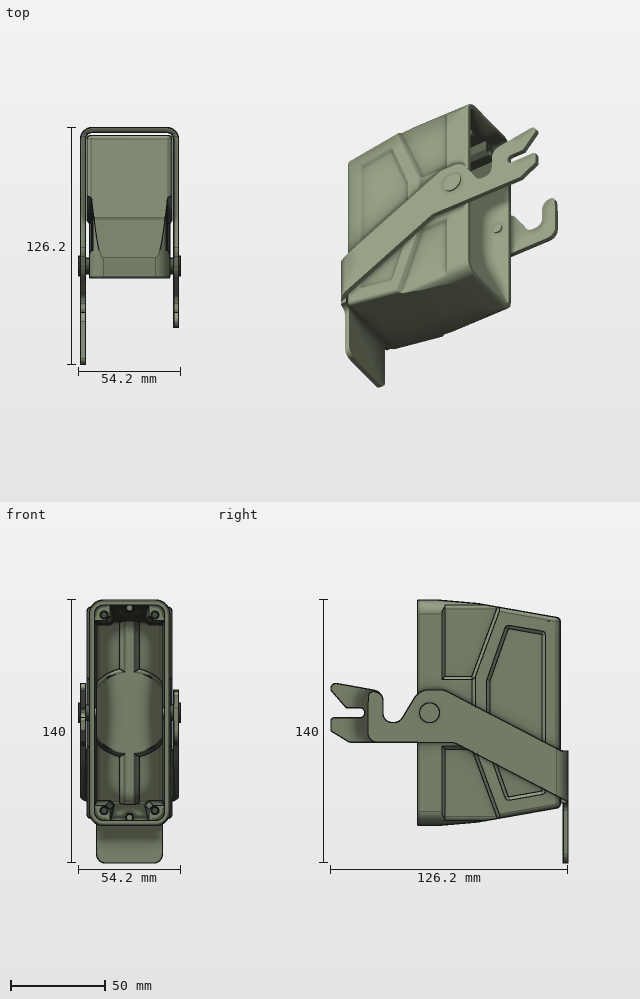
import cadquery as cq
import math


overlap = 1.0

hood_height = 120.0
hood_depth = 76.0
mouth_half_width = 21.4
mouth_corner_radius = 7.5
mouth_rim_fillet = 0.8
shoulder_half_width = 22.65
shoulder_edge_radius = 2.2
shoulder_front = 29.1
shoulder_slope_run = 1.7
wall = 2.7

level_length = 11.0
first_taper_end = 32.0
first_taper_angle = 5.0
second_taper_angle = 10.0
taper_blend_radius = 9.0

panel_half_width = 20.3
panel_front = 14.8
panel_bottom = 19.4
panel_top = 58.6
panel_limit = 57.4
panel_edge_radius = 3.4
panel_wall_slope = 1.6
diagonal_wall_slope = 0.8
diagonal_start = 29.0
diagonal_angle = 20.2

pocket_depth = 1.0
pocket_wall_run = 1.8
pocket_corner_radius = 2.2
pocket_back = 68.2
pocket_front = 36.9
pocket_back_height = 43.1
pocket_tip_depth = 47.2
pocket_bend_height = 17.5

cavity_mouth_half_width = 18.7
cavity_floor_half_width = 17.4
cavity_corner_radius = 5.0
floor_depth = 73.0
floor_edge_radius = 1.2
platform_height = 3.0
platform_radius = 22.1
platform_slope_run = 1.8
rib_half_width = 2.7
rib_slope_run = 2.6
platform_edge_radius = 0.6

post_front = 9.0
post_inner_x = 10.4
post_inner_z = 49.2
post_chamfer = 2.3
post_widening = 2.5
screw_x = 13.5
screw_z = 52.0
screw_hole_diameter = 3.4
screw_hole_depth = 20.0
screw_countersink_diameter = 4.3
guide_z = 55.8
guide_front = 10.2
guide_tip_radius = 1.7
guide_base_radius = 3.0

lever_half_width = 26.1
lever_sheet = 2.7
lever_back = 80.21
lever_bend_radius = 6.3
arm_angle = 27.5
arm_top = 12.2
arm_bottom = -15.7
arm_top_bend = 14.1
arm_bottom_bend = 19.4
bridge_top = -20.2
nose_y = 1.0
nose_angle = 58.7
nose_radius = 9.4
notch_bottom = -5.1
notch_radius = 4.75
notch_end_radius = 4.65
finger_back = -18.2
arm_bend_radius = 10.0
belly_radius = 8.0
bridge_blend_radius = 4.0
neck_height = 11.2

fork_tip = -46.0
fork_neck_radius = 6.0
fork_top = 16.2
fork_top_radius = 2.8
upper_prong_bottom = 12.0
upper_prong_radius = 0.6
slot_mouth = -37.8
slot_end = -28.0
slot_half_width = 2.6
slot_end_radius = 2.55
lower_prong_radius = 1.8
lower_prong_bottom = -9.7
lower_prong_heel_radius = 0.8
fork_heel = -36.2
fork_heel_radius = 3.0

hook_tip = -26.3
hook_top_front = -25.8
hook_neck_radius = 5.0
hook_top_radius = 2.3
hook_edge_height = 2.7
hook_heel_radius = 5.0

tab_half_width = 17.6
tab_root = -48.0
tab_bottom = -80.0
tab_corner_radius = 5.0
tab_root_radius = 4.0

pin_y = 6.5
pin_head_diameter = 10.6
pin_collar_diameter = 8.4
pin_stud_diameter = 5.0
pin_end_x = 27.1
pin_stud_x = 17.5


def tan(angle):
    return math.tan(math.radians(angle))


def both_sides(solid):
    """The solid together with its mirror image across X = 0."""
    return solid.union(solid.mirror("YZ"))


def top_and_bottom(solid):
    """The solid together with its mirror image across Z = 0."""
    return solid.union(solid.mirror("XY"))


def rounded_outline(plane, corners):
    """A closed outline through (u, v, radius) corners, each rounded to its radius."""
    starts, middles, ends = [], [], []
    for i, (u, v, radius) in enumerate(corners):
        corner = cq.Vector(u, v)
        before = cq.Vector(*corners[i - 1][:2]) - corner
        after = cq.Vector(*corners[(i + 1) % len(corners)][:2]) - corner
        before = before.normalized()
        after = after.normalized()
        half = before.getAngle(after) / 2
        setback = radius / math.tan(half)
        bisector = (before + after).normalized()
        starts.append(corner + before * setback)
        middles.append(corner + bisector * (radius / math.sin(half) - radius))
        ends.append(corner + after * setback)
    outline = cq.Workplane(plane).moveTo(ends[0].x, ends[0].y)
    for i in list(range(1, len(corners))) + [0]:
        outline = outline.lineTo(starts[i].x, starts[i].y)
        if corners[i][2] > 0:
            outline = outline.threePointArc(middles[i].toTuple()[:2], ends[i].toTuple()[:2])
    return outline.close()


def loft_between(outline_low, x_low, outline_high, x_high):
    """A solid with planar walls between two polygons on parallel YZ planes."""
    low = cq.Workplane("YZ", origin=(x_low, 0, 0)).polyline(outline_low).close()
    high = low.workplane(offset=x_high - x_low).polyline(outline_high).close()
    return high.loft(ruled=True)



def end_wall_height(y, inset):
    """Half height of the hood at depth y, measured inside a wall of the given inset."""
    height = hood_height / 2 - inset
    height -= tan(first_taper_angle) * max(0.0, min(y, first_taper_end) - level_length)
    height -= tan(second_taper_angle) * max(0.0, y - first_taper_end)
    return height


def side_profile(depth, inset, half_width):
    """The tapering side outline of the hood, extruded to both sides of X = 0."""
    stations = [(0, 0), (level_length, 0), (first_taper_end, taper_blend_radius), (depth, 0)]
    upper = [(y, end_wall_height(y, inset), radius) for y, radius in stations]
    lower = [(y, -z, radius) for y, z, radius in reversed(upper)]
    return rounded_outline("YZ", upper + lower).extrude(half_width, both=True)


def rounded_bar(half_width, half_height, radius, depth):
    """A bar along +Y from the mouth plane with its four long edges rounded."""
    bar = cq.Workplane("XZ").rect(2 * half_width, 2 * half_height).extrude(-depth)
    return bar.edges("|Y").fillet(radius)


def diagonal_depth(z, x):
    """Depth of the diagonal panel wall at height z and half width x."""
    on_floor = diagonal_start + tan(diagonal_angle) * (z - panel_bottom)
    return on_floor + diagonal_wall_slope * (x - panel_half_width)


def panel_cutter():
    """What is removed at the upper +X corner panel: sloping walls around a rounded core."""
    above = hood_height / 2 + overlap

    def outline(x):
        spread = panel_wall_slope * (x - panel_half_width)
        front = panel_front - spread
        bottom = panel_bottom - spread
        return [
            (front, bottom),
            (diagonal_depth(bottom, x), bottom),
            (diagonal_depth(above, x), above),
            (front, above),
        ]

    inside = panel_half_width - 2 * panel_edge_radius
    outside = shoulder_half_width + overlap
    floor = outline(panel_half_width)
    recess = cq.Workplane("YZ", origin=(inside, 0, 0)).polyline(floor).close()
    recess = recess.extrude(panel_half_width - inside)
    recess = recess.union(
        loft_between(floor, panel_half_width, outline(outside), outside)
    )
    core = rounded_bar(panel_half_width, panel_top, panel_edge_radius, hood_depth)
    above_limit = cq.Workplane("XY", origin=(0, 0, panel_limit))
    above_limit = above_limit.rect(hood_height, 2 * hood_depth).extrude(hood_height)
    corner = rounded_bar(mouth_half_width, hood_height / 2, mouth_corner_radius, hood_depth)
    return recess.cut(core).cut(corner.intersect(above_limit))


def make_body():
    """The outer hood: a round-cornered front and a wider shoulder, with the corner panels cut in."""
    front_length = diagonal_depth(hood_height / 2 - wall, panel_half_width)
    front = rounded_bar(mouth_half_width, hood_height / 2, mouth_corner_radius, front_length)
    front = front.intersect(side_profile(hood_depth, 0, mouth_half_width))
    front = front.faces("<Y").edges().fillet(mouth_rim_fillet)

    shoulder = side_profile(hood_depth, 0, shoulder_half_width)
    shoulder = shoulder.faces("<X or >X or >Y").edges("not <Y").fillet(shoulder_edge_radius)
    slope = (
        cq.Workplane("XY")
        .polyline([
            (0, shoulder_front),
            (mouth_half_width, shoulder_front),
            (shoulder_half_width, shoulder_front + shoulder_slope_run),
            (shoulder_half_width, hood_depth),
            (0, hood_depth),
        ])
        .close()
        .extrude(hood_height / 2, both=True)
    )
    shoulder = shoulder.intersect(both_sides(slope))
    corner_panels = top_and_bottom(both_sides(panel_cutter()))
    return front.cut(corner_panels).union(shoulder.cut(corner_panels))


def pocket_cutter():
    """The shallow pocket in the +X flank, with sloping walls."""
    tip_height = pocket_back_height + tan(second_taper_angle) * (pocket_back - pocket_tip_depth)
    upper = [
        (pocket_front, pocket_bend_height, 0),
        (pocket_tip_depth, tip_height, pocket_corner_radius),
        (pocket_back, pocket_back_height, pocket_corner_radius),
    ]
    lower = [(y, -z, radius) for y, z, radius in reversed(upper)]
    outline = rounded_outline("YZ", upper + lower)
    draft = math.degrees(math.atan(pocket_wall_run / pocket_depth))
    pocket = outline.extrude(pocket_depth, taper=draft)
    return pocket.mirror("YZ").translate((shoulder_half_width, 0, 0))



def make_cavity():
    """The drafted cavity down to its floor."""
    half_height = hood_height / 2 - wall
    plan = (
        cq.Workplane("XY")
        .polyline([
            (-cavity_mouth_half_width, 0),
            (cavity_mouth_half_width, 0),
            (cavity_floor_half_width, floor_depth),
            (-cavity_floor_half_width, floor_depth),
        ])
        .close()
        .extrude(half_height, both=True)
    )
    bar = rounded_bar(cavity_mouth_half_width, half_height, cavity_corner_radius, floor_depth)
    cavity = bar.intersect(plan)
    cavity = cavity.intersect(side_profile(floor_depth, wall, cavity_mouth_half_width))
    return cavity.faces(">Y").edges().fillet(floor_edge_radius)


def floor_platform():
    """Raised disc and lengthwise rib on the cavity floor, both with sloping sides."""
    top = floor_depth - platform_height
    disc = (
        cq.Workplane("XZ", origin=(0, floor_depth, 0))
        .circle(platform_radius + platform_slope_run)
        .workplane(offset=platform_height)
        .circle(platform_radius)
        .loft()
    )
    rib = (
        cq.Workplane("XY")
        .polyline([
            (-rib_half_width, top),
            (rib_half_width, top),
            (rib_half_width + rib_slope_run, floor_depth),
            (-rib_half_width - rib_slope_run, floor_depth),
        ])
        .close()
        .extrude(hood_height / 2, both=True)
    )
    platform = disc.union(rib)
    return platform.faces("<Y").edges().fillet(platform_edge_radius)


def screw_posts():
    """The four corner posts that fill the cavity corners."""
    def section(widening):
        inner_x = post_inner_x - widening
        inner_z = post_inner_z - widening
        outer_x = cavity_mouth_half_width
        outer_z = hood_height / 2
        return [
            (inner_x, outer_z),
            (inner_x, inner_z + post_chamfer),
            (inner_x + post_chamfer, inner_z),
            (outer_x, inner_z),
            (outer_x, outer_z),
        ]

    front = cq.Workplane("XZ", origin=(0, post_front, 0)).polyline(section(0)).close()
    base = front.workplane(offset=post_front - floor_depth)
    post = base.polyline(section(post_widening)).close().loft(ruled=True)
    return top_and_bottom(both_sides(post))


def screw_holes():
    """Blind holes with a small countersink in the fronts of the posts."""
    fronts = (
        cq.Workplane("XZ", origin=(0, post_front, 0))
        .rect(2 * screw_x, 2 * screw_z, forConstruction=True)
        .vertices()
    )
    holes = fronts.circle(screw_hole_diameter / 2).extrude(-screw_hole_depth)
    sink_depth = (screw_countersink_diameter - screw_hole_diameter) / 2
    sinks = fronts.circle(screw_countersink_diameter / 2).extrude(-sink_depth, taper=45)
    return holes.union(sinks)


def guide_rod():
    """The upper guide: a tapering bar along the middle of the cavity wall."""
    tip = cq.Workplane("XZ", origin=(0, guide_front, guide_z)).circle(guide_tip_radius)
    return tip.workplane(offset=guide_front - floor_depth).circle(guide_base_radius).loft()


def make_hood():
    body = make_body()
    pockets = both_sides(pocket_cutter())
    cavity = make_cavity()
    rods = top_and_bottom(guide_rod())
    inside = floor_platform().union(screw_posts()).union(rods).intersect(cavity)
    hood = body.cut(pockets).cut(cavity).union(inside)
    return hood.cut(screw_holes())



def arm_blank(tip_corners, side):
    """Side outline of one arm, extruded over the half of the lever on the given side."""
    lower_back = arm_bottom - tan(arm_angle) * (lever_back - arm_bottom_bend)
    bridge_bend = arm_top_bend + (arm_top - bridge_top) / tan(arm_angle)
    notch_y = nose_y - (arm_top - notch_bottom) / tan(nose_angle)
    corners = [
        (lever_back, lower_back, 0),
        (lever_back, bridge_top, 0),
        (bridge_bend, bridge_top, bridge_blend_radius),
        (arm_top_bend, arm_top, arm_bend_radius),
        (nose_y, arm_top, nose_radius),
        (notch_y, notch_bottom, notch_radius),
        (finger_back, notch_bottom, notch_end_radius),
        *tip_corners,
        (arm_bottom_bend, arm_bottom, belly_radius),
    ]
    return rounded_outline("YZ", corners).extrude(side * lever_half_width)


def fork_corners():
    """Tip of the -X arm: an upper and a lower prong with a slot between them."""
    return [
        (finger_back, neck_height, fork_neck_radius),
        (fork_tip, fork_top, fork_top_radius),
        (fork_tip, upper_prong_bottom, upper_prong_radius),
        (slot_mouth, slot_half_width, 0),
        (slot_end, slot_half_width, slot_end_radius),
        (slot_end, -slot_half_width, slot_end_radius),
        (fork_tip, -slot_half_width, lower_prong_radius),
        (fork_tip, lower_prong_bottom, lower_prong_heel_radius),
        (fork_heel, arm_bottom, fork_heel_radius),
    ]


def hook_corners():
    """Tip of the +X arm: a single upright hook."""
    return [
        (finger_back, neck_height, hook_neck_radius),
        (hook_top_front, neck_height, hook_top_radius),
        (hook_tip, hook_edge_height, 0),
        (hook_tip, arm_bottom, hook_heel_radius),
    ]


def tab_blank():
    """Front outline of the tab, with rounded roots, extruded through the bridge sheet."""
    root_half_width = tab_half_width + tab_root_radius + overlap
    right = [
        (root_half_width, tab_root + tab_root_radius, 0),
        (root_half_width, tab_root, 0),
        (tab_half_width, tab_root, tab_root_radius),
        (tab_half_width, tab_bottom, tab_corner_radius),
    ]
    left = [(-x, z, radius) for x, z, radius in reversed(right)]
    outline = rounded_outline("XZ", right + left)
    tab = outline.extrude(-2 * lever_sheet)
    return tab.translate((0, lever_back - 2 * lever_sheet, 0))


def channel_block(half_width, back, radius):
    """A tall block with its two upright back edges rounded, as high as the whole lever."""
    block = cq.Workplane("XY", origin=(0, 0, tab_bottom)).rect(2 * half_width, 2 * back)
    return block.extrude(fork_top - tab_bottom).edges("|Z and >Y").fillet(radius)


def make_lever():
    """Bent sheet channel trimmed to the outlines of its two arms and its tab."""
    outer = channel_block(lever_half_width, lever_back, lever_bend_radius)
    inner = channel_block(
        lever_half_width - lever_sheet, lever_back - lever_sheet, lever_bend_radius - lever_sheet
    )
    fork_arm = arm_blank(fork_corners(), -1)
    hook_arm = arm_blank(hook_corners(), 1)
    return outer.cut(inner).intersect(fork_arm.union(hook_arm).union(tab_blank()))



def pivot_pin():
    """The +X pin: a stud through the hood wall, a collar under the arm and a head outside."""
    arm_inner = lever_half_width - lever_sheet
    steps = [
        (pin_stud_x, arm_inner, pin_stud_diameter),
        (cavity_mouth_half_width + wall / 2, arm_inner, pin_collar_diameter),
        (arm_inner, pin_end_x, pin_head_diameter),
    ]
    pin = cq.Workplane("YZ")
    for start, end, diameter in steps:
        step = cq.Workplane("YZ", origin=(start, pin_y, 0)).circle(diameter / 2)
        pin = pin.union(step.extrude(end - start))
    return pin


result = make_hood().union(make_lever()).union(both_sides(pivot_pin()))